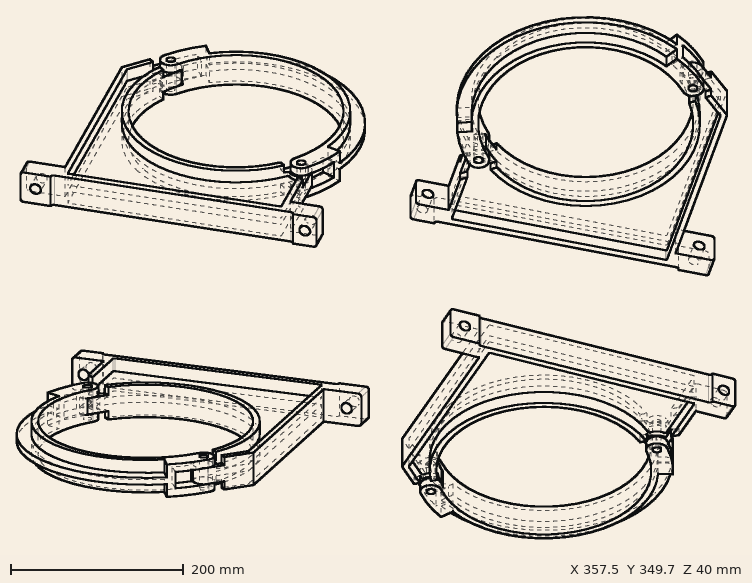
import cadquery as cq
import math

LENGTH = 357.5
HEIGHT = 40.0
TONGUE_HEIGHT = HEIGHT / 2
WEB_THICKNESS = 8.5

CENTER_X = 22.0
CENTER_Y = 200.2
BORE_RADIUS = 124.5
RING_RADIUS = 132.3
FLANGE_RADIUS = 149.5

HINGE_ANGLES = (140.0, -40.0)
LUG_SWEEP = 20.0
SLOT_SWEEP = 16.0
SLOT_OVERCUT = 3.5
PIN_DIAMETER = 10.0
LUG_RADIUS = (FLANGE_RADIUS - BORE_RADIUS) / 2
PIN_CIRCLE_RADIUS = (FLANGE_RADIUS + BORE_RADIUS) / 2
CLEARANCE_RADIUS = 14.5
HINGE_RELIEF = 19.5

LEFT_WALL_X = -132.3
WALL = 7.0
FLOOR_WALL = 8.5
POCKET_FILLET = 1.8
FOOT_DEPTH = 25.5
FOOT_FILLET = 4.0
FOOT_HOLE_DIAMETER = 13.0
LEFT_PAD = 36.5
RIGHT_PAD = 28.5
RECESS = 3.5

LEFT_END = -LENGTH / 2
RIGHT_END = LENGTH / 2
DIAGONAL_ANGLE = 135.0


def polar(origin, radius, angle):
    """Point at a distance and an angle in degrees from an origin."""
    turn = math.radians(angle)
    return (origin[0] + radius * math.cos(turn), origin[1] + radius * math.sin(turn))


CENTER = (CENTER_X, CENTER_Y)
LEFT_PIN, RIGHT_PIN = [polar(CENTER, PIN_CIRCLE_RADIUS, angle) for angle in HINGE_ANGLES]
RIGHT_WALL_X = RIGHT_PIN[0] + LUG_RADIUS


def slab(thickness):
    """Workplane whose extrusion of the given thickness is centred on mid-height."""
    return cq.Workplane("XY").workplane(offset=-thickness / 2)


def disc(origin, radius, thickness=HEIGHT):
    return slab(thickness).center(*origin).circle(radius).extrude(thickness)


def ring_sector(inner, outer, start, end, thickness):
    """Piece of a ring around the bore between two angles in degrees, in either order."""
    start, end = sorted((start, end))
    middle = (start + end) / 2
    return (
        slab(thickness)
        .moveTo(*polar(CENTER, inner, start))
        .lineTo(*polar(CENTER, outer, start))
        .threePointArc(polar(CENTER, outer, middle), polar(CENTER, outer, end))
        .lineTo(*polar(CENTER, inner, end))
        .threePointArc(polar(CENTER, inner, middle), polar(CENTER, inner, start))
        .close()
        .extrude(thickness)
    )


def base_block():
    """Base outline with feet, foot recess, bore half and rounded hinge tongues."""
    left_hinge, right_hinge = HINGE_ANGLES
    diagonal_top = polar(LEFT_PIN, LUG_RADIUS, DIAGONAL_ANGLE)
    diagonal_bottom = (LEFT_WALL_X, diagonal_top[1] - (diagonal_top[0] - LEFT_WALL_X))
    recess_left = LEFT_END + LEFT_PAD
    recess_right = RIGHT_END - RIGHT_PAD
    bore_bottom_angle = (left_hinge + right_hinge + 360) / 2
    left_tip_angle = (right_hinge + DIAGONAL_ANGLE) / 2
    right_tip_angle = left_hinge / 2
    return (
        slab(HEIGHT)
        .moveTo(LEFT_END, 0)
        .lineTo(recess_left, 0)
        .threePointArc(polar((recess_left + RECESS, 0), RECESS, 135), (recess_left + RECESS, RECESS))
        .lineTo(recess_right - RECESS, RECESS)
        .threePointArc(polar((recess_right - RECESS, 0), RECESS, 45), (recess_right, 0))
        .lineTo(RIGHT_END, 0)
        .lineTo(RIGHT_END, FOOT_DEPTH)
        .lineTo(RIGHT_WALL_X, FOOT_DEPTH)
        .lineTo(RIGHT_WALL_X, RIGHT_PIN[1])
        .threePointArc(
            polar(RIGHT_PIN, LUG_RADIUS, right_tip_angle),
            polar(CENTER, BORE_RADIUS, right_hinge),
        )
        .threePointArc(
            polar(CENTER, BORE_RADIUS, bore_bottom_angle),
            polar(CENTER, BORE_RADIUS, left_hinge),
        )
        .threePointArc(polar(LEFT_PIN, LUG_RADIUS, left_tip_angle), diagonal_top)
        .lineTo(*diagonal_bottom)
        .lineTo(LEFT_WALL_X, FOOT_DEPTH)
        .lineTo(LEFT_END, FOOT_DEPTH)
        .close()
        .extrude(HEIGHT)
        .edges("|Y and (<X or >X)")
        .fillet(FOOT_FILLET)
    )


def pocket():
    """Full-height pocket shape inside the walls, clear of the ring and the hinges."""
    left = LEFT_WALL_X + WALL
    right = RIGHT_WALL_X - WALL
    bottom = RECESS + FLOOR_WALL
    diagonal_top = polar(LEFT_PIN, LUG_RADIUS - WALL, DIAGONAL_ANGLE)
    diagonal_bottom = (left, diagonal_top[1] - (diagonal_top[0] - left))
    outline = [
        (left, bottom),
        (right, bottom),
        (right, RIGHT_PIN[1]),
        CENTER,
        diagonal_top,
        diagonal_bottom,
    ]
    shape = slab(HEIGHT).polyline(outline).close().extrude(HEIGHT)
    shape = shape.cut(disc(CENTER, RING_RADIUS))
    for pin in (LEFT_PIN, RIGHT_PIN):
        shape = shape.cut(disc(pin, CLEARANCE_RADIUS))
    return shape.edges("|Z").fillet(POCKET_FILLET)


def hinge_relief():
    """Space above and below the tongues, on the clamp side of the relief line."""
    reach = LENGTH
    middle = cq.Workplane("XY").box(2 * reach, 2 * reach, TONGUE_HEIGHT)
    space = cq.Workplane("XY").box(2 * reach, reach, HEIGHT).translate((0, reach / 2 - HINGE_RELIEF, 0))
    return (
        space.cut(middle)
        .rotate((0, 0, 0), (0, 0, 1), HINGE_ANGLES[1])
        .translate((CENTER_X, CENTER_Y, 0))
    )


def base():
    """Base with a pocket on each side of the web, hinge tongues and mounting holes."""
    web = slab(WEB_THICKNESS).rect(2 * LENGTH, 2 * LENGTH).extrude(WEB_THICKNESS)
    body = base_block().cut(pocket().cut(web)).cut(hinge_relief())
    foot_holes = (
        cq.Workplane("XZ")
        .pushPoints([(LEFT_END + LEFT_PAD / 2, 0), (RIGHT_END - RIGHT_PAD / 2, 0)])
        .circle(FOOT_HOLE_DIAMETER / 2)
        .extrude(-FOOT_DEPTH)
    )
    return body.cut(foot_holes)


def clamp():
    """Half ring with a mid-height flange and a forked lug at each end."""
    left_hinge, right_hinge = HINGE_ANGLES
    body = ring_sector(BORE_RADIUS, RING_RADIUS, right_hinge, left_hinge, HEIGHT)
    body = body.union(
        ring_sector(RING_RADIUS, FLANGE_RADIUS, right_hinge, left_hinge, WEB_THICKNESS)
    )
    lugs = (
        (LEFT_PIN, left_hinge - LUG_SWEEP, left_hinge - SLOT_SWEEP, left_hinge),
        (RIGHT_PIN, right_hinge + LUG_SWEEP, right_hinge + SLOT_SWEEP, right_hinge),
    )
    for pin, lug_end, slot_end, hinge in lugs:
        lug = ring_sector(BORE_RADIUS, FLANGE_RADIUS, hinge, lug_end, HEIGHT)
        body = body.union(lug).union(disc(pin, LUG_RADIUS))
        slot = ring_sector(RING_RADIUS, FLANGE_RADIUS + SLOT_OVERCUT, hinge, slot_end, TONGUE_HEIGHT)
        body = body.cut(slot).cut(disc(pin, CLEARANCE_RADIUS, TONGUE_HEIGHT))
    return body


result = base().union(clamp())
for pin in (LEFT_PIN, RIGHT_PIN):
    result = result.cut(disc(pin, PIN_DIAMETER / 2))